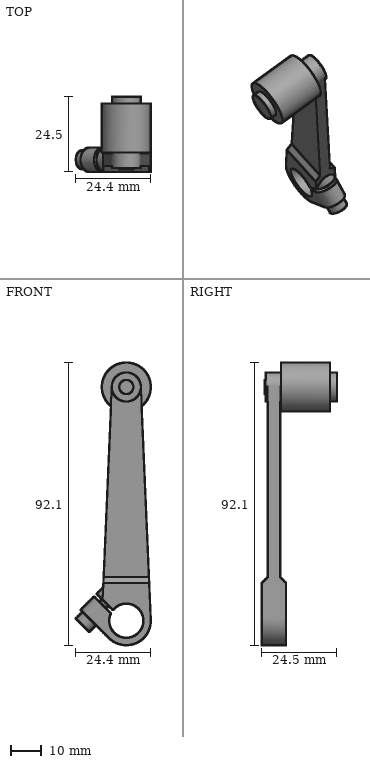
import cadquery as cq
import math

LENGTH = 92.1

HUB_RADIUS = 8.0
HUB_WIDTH = HUB_RADIUS
BORE_DIAMETER = 11.05

ROLLER_RADIUS = HUB_RADIUS
ROLLER_LENGTH = 16.0
CAP_END_Y = 20.5
BOSS_DIAMETER = 9.5
BOSS_RADIUS = BOSS_DIAMETER / 2
BOSS_START_Y = -2.7
ROLLER_START_Y = 2.3
PIN_RADIUS = 2.3
PIN_END_Y = -3.1
ROLLER_Z = LENGTH - HUB_RADIUS - ROLLER_RADIUS

ARM_THICKNESS = 4.1
SHOULDER_BOTTOM_Z = 12.2
SHOULDER_STEP = (HUB_WIDTH - ARM_THICKNESS) / 2

CLAMP_ANGLE = 45.0
SCREW_OUT = 9.0
LUG_RADIUS = HUB_WIDTH / 2
SLIT_TOP = -0.6
SLIT_BOTTOM = -1.8
LUG_TOP = 3.0
HEAD_RADIUS = 3.1
HEAD_END = -11.1
SHANK_RADIUS = 1.6


def y_cylinder(radius, start_y, end_y, z=0.0):
    """Cylinder along Y between two Y positions."""
    plane = cq.Plane(origin=(0, start_y, z), xDir=(1, 0, 0), normal=(0, 1, 0))
    return cq.Workplane(plane).circle(radius).extrude(end_y - start_y)


def screw_cylinder(radius, bottom, top):
    """Cylinder on the screw axis, before the clamp is tilted."""
    base = cq.Workplane("XY", origin=(-SCREW_OUT, 0, bottom))
    return base.circle(radius).extrude(top - bottom)


def tilt(body):
    """Turn a body from its upright position to the clamp angle."""
    return body.rotate((0, 0, 0), (0, 1, 0), CLAMP_ANGLE)


def clamp_box(bottom, top, out):
    """Full-width block reaching outwards from the bore axis."""
    block = cq.Workplane("XY").box(out, HUB_WIDTH, top - bottom, centered=(False, True, False))
    return tilt(block.translate((-out, 0, bottom)))


def make_arm():
    """Tapered outline tangent to hub and boss, thinned above the sloped shoulders."""
    tangent_sine = (HUB_RADIUS - BOSS_RADIUS) / ROLLER_Z
    tangent_cosine = math.sqrt(1 - tangent_sine**2)
    hub_x = HUB_RADIUS * tangent_cosine
    hub_z = HUB_RADIUS * tangent_sine
    boss_x = BOSS_RADIUS * tangent_cosine
    boss_z = ROLLER_Z + BOSS_RADIUS * tangent_sine
    outline = (
        cq.Workplane("XZ")
        .moveTo(hub_x, hub_z)
        .lineTo(boss_x, boss_z)
        .threePointArc((0, ROLLER_Z + BOSS_RADIUS), (-boss_x, boss_z))
        .lineTo(-hub_x, hub_z)
        .threePointArc((0, -HUB_RADIUS), (hub_x, hub_z))
        .close()
        .extrude(HUB_WIDTH / 2, both=True)
    )
    half_hub = HUB_WIDTH / 2
    half_arm = ARM_THICKNESS / 2
    shoulder_top_z = SHOULDER_BOTTOM_Z + SHOULDER_STEP
    side_profile = (
        cq.Workplane("YZ")
        .polyline([
            (-half_hub, -HUB_RADIUS),
            (half_hub, -HUB_RADIUS),
            (half_hub, SHOULDER_BOTTOM_Z),
            (half_arm, shoulder_top_z),
            (half_arm, LENGTH),
            (-half_arm, LENGTH),
            (-half_arm, shoulder_top_z),
            (-half_hub, SHOULDER_BOTTOM_Z),
        ])
        .close()
        .extrude(HUB_RADIUS, both=True)
    )
    return outline.intersect(side_profile)


def add_clamp(body):
    """Add the rounded ears, then cut the slit and bore and fit the screw across the slit."""
    lower_ear = clamp_box(-HUB_RADIUS, SLIT_BOTTOM, SCREW_OUT)
    lugs = tilt(screw_cylinder(LUG_RADIUS, -HUB_RADIUS, LUG_TOP))
    slit = clamp_box(SLIT_BOTTOM, SLIT_TOP, SCREW_OUT + 2 * LUG_RADIUS)
    bore = y_cylinder(BORE_DIAMETER / 2, -HUB_WIDTH / 2, HUB_WIDTH / 2)
    head = tilt(screw_cylinder(HEAD_RADIUS, HEAD_END, -HUB_RADIUS))
    shank = tilt(screw_cylinder(SHANK_RADIUS, SLIT_BOTTOM, SLIT_TOP))
    return body.union(lower_ear).union(lugs).cut(slit).cut(bore).union(head).union(shank)


def add_roller(body):
    """Add the boss through the arm, the roller with its end cap, and the pin end."""
    roller_end_y = ROLLER_START_Y + ROLLER_LENGTH
    boss = y_cylinder(BOSS_RADIUS, BOSS_START_Y, ROLLER_START_Y, ROLLER_Z)
    roller = y_cylinder(ROLLER_RADIUS, ROLLER_START_Y, roller_end_y, ROLLER_Z)
    cap = y_cylinder(BOSS_RADIUS, roller_end_y, CAP_END_Y, ROLLER_Z)
    pin = y_cylinder(PIN_RADIUS, PIN_END_Y, BOSS_START_Y, ROLLER_Z)
    return body.union(boss).union(roller).union(cap).union(pin)


result = add_roller(add_clamp(make_arm()))